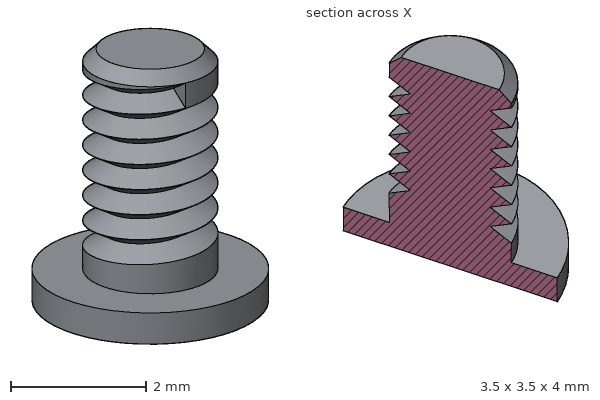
import cadquery as cq
import math

total_height = 4.0
head_diameter = 3.5
head_thickness = 0.5
shank_diameter = 2.0
tip_chamfer = 0.2

pitch = 0.4
thread_angle = 60.0
thread_turns = 6.75
start_angle = 90.0
turn_gap = 0.005
cutter_overshoot = 0.002

shank_radius = shank_diameter / 2
cutter_radius = shank_radius + cutter_overshoot
cutter_width = pitch - turn_gap
cutter_depth = cutter_width / 2 / math.tan(math.radians(thread_angle / 2))
thread_length = thread_turns * pitch
groove_end = total_height - tip_chamfer - pitch / 2
groove_start = groove_end - thread_length


def make_blank():
    """Flat round head with a chamfered plain shank standing on it."""
    head = cq.Workplane("XY").circle(head_diameter / 2).extrude(head_thickness)
    shank = (
        cq.Workplane("XY")
        .circle(shank_radius)
        .extrude(total_height)
        .faces(">Z")
        .chamfer(tip_chamfer)
    )
    return head.union(shank)


def make_thread_cutter():
    """V profile, just proud of the shank, swept along the helix."""
    helix = cq.Wire.makeHelix(pitch, thread_length, shank_radius)
    return (
        cq.Workplane("XZ")
        .moveTo(cutter_radius - cutter_depth, 0)
        .lineTo(cutter_radius, cutter_width / 2)
        .lineTo(cutter_radius, -cutter_width / 2)
        .close()
        .sweep(cq.Workplane(helix), isFrenet=True)
        .rotate((0, 0, 0), (0, 0, 1), start_angle)
        .translate((0, 0, groove_start))
    )


result = make_blank().cut(make_thread_cutter())